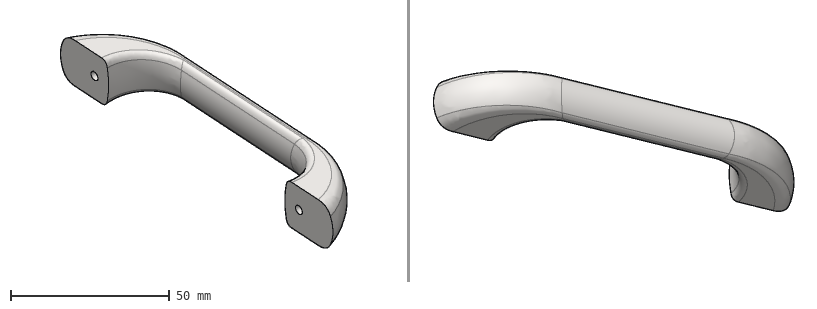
import cadquery as cq
import math

length = 128.0
height = 24.0
foot_width = 18.0
outer_bend_x = 30.8
inner_bend_x = 25.9
inner_height = 16.6
foot_inner_x = 41.3
draft_angle = 5.2

outer_round = (4.1, 6.9)
outer_shoulder = (6.1, 5.5)
outer_crown = (2.0, 1.2)
inner_round = (4.1, 3.3)
inner_shoulder = (5.2, 6.5)
inner_crown = (1.3, 0.6)

bend_steps = 5

hole_diameter = 3.2
hole_x = 48.0
hole_depth = 10.2


def blend(pair, t):
    """Value between the grip (t = 0) and the foot (t = 1)."""
    return pair[0] + (pair[1] - pair[0]) * t


def bend_point(bend_x, top, foot_x, t):
    """Point on the arc that leaves the grip tangentially and ends at the foot."""
    run = foot_x - bend_x
    radius = (run**2 + top**2) / (2 * top)
    angle = t * math.atan2(run, radius - top)
    return bend_x + radius * math.sin(angle), top - radius * (1 - math.cos(angle))


def section(t, side):
    """Closed cross-section of one bend; side is -1 for left and 1 for right."""
    outer_x, outer_y = bend_point(outer_bend_x, height, length / 2, t)
    inner_x, inner_y = bend_point(inner_bend_x, inner_height, foot_inner_x, t)
    depth = math.hypot(outer_x - inner_x, outer_y - inner_y)
    across_x = (outer_x - inner_x) / depth
    across_y = (outer_y - inner_y) / depth

    def place(distance, z):
        return cq.Vector(side * (inner_x + across_x * distance), inner_y + across_y * distance, z)

    def direction(across, z):
        return cq.Vector(side * across_x * across, across_y * across, z)

    def side_point(distance):
        y = inner_y + across_y * distance
        return distance, foot_width / 2 - y * math.tan(math.radians(draft_angle))

    inner_break, inner_half = side_point(blend(inner_round, t))
    outer_break, outer_half = side_point(depth - blend(outer_round, t))
    side_slope = (outer_half - inner_half) / (outer_break - inner_break)

    outer_z = blend(outer_shoulder, t)
    outer_bulge = blend(outer_crown, t)
    outer_angle = 2 * math.atan(outer_bulge / outer_z)
    inner_z = blend(inner_shoulder, t)
    inner_bulge = blend(inner_crown, t)
    inner_angle = 2 * math.atan(inner_bulge / inner_z)

    def corner(sign):
        """Inner round, flat side and outer round, running from inner to outer."""
        inner_end = place(inner_bulge, sign * inner_z)
        flat_start = place(inner_break, sign * inner_half)
        flat_end = place(outer_break, sign * outer_half)
        outer_end = place(depth - outer_bulge, sign * outer_z)
        along_flat = direction(1, sign * side_slope)
        from_inner = direction(math.sin(inner_angle), sign * math.cos(inner_angle))
        to_outer = direction(math.sin(outer_angle), -sign * math.cos(outer_angle))
        return [
            cq.Edge.makeSpline([inner_end, flat_start], tangents=[from_inner, along_flat]),
            cq.Edge.makeLine(flat_start, flat_end),
            cq.Edge.makeSpline([flat_end, outer_end], tangents=[along_flat, to_outer]),
        ]

    outer_face = cq.Edge.makeThreePointArc(
        place(depth - outer_bulge, outer_z), place(depth, 0), place(depth - outer_bulge, -outer_z)
    )
    inner_face = cq.Edge.makeThreePointArc(
        place(inner_bulge, -inner_z), place(0, 0), place(inner_bulge, inner_z)
    )
    return cq.Wire.assembleEdges(corner(1) + [outer_face] + corner(-1)[::-1] + [inner_face])


def make_bend(side):
    sections = [section(step / bend_steps, side) for step in range(bend_steps + 1)]
    return cq.Workplane(obj=cq.Solid.makeLoft(sections))


def make_hole(side):
    axis = cq.Vector(0, 1, 0)
    start = cq.Vector(side * hole_x, 0, 0)
    return cq.Workplane(obj=cq.Solid.makeCylinder(hole_diameter / 2, hole_depth, start, axis))


result = cq.Workplane(obj=cq.Solid.makeLoft([section(0, -1), section(0, 1)], True))
for side in (-1, 1):
    result = result.union(make_bend(side))
for side in (-1, 1):
    result = result.cut(make_hole(side))